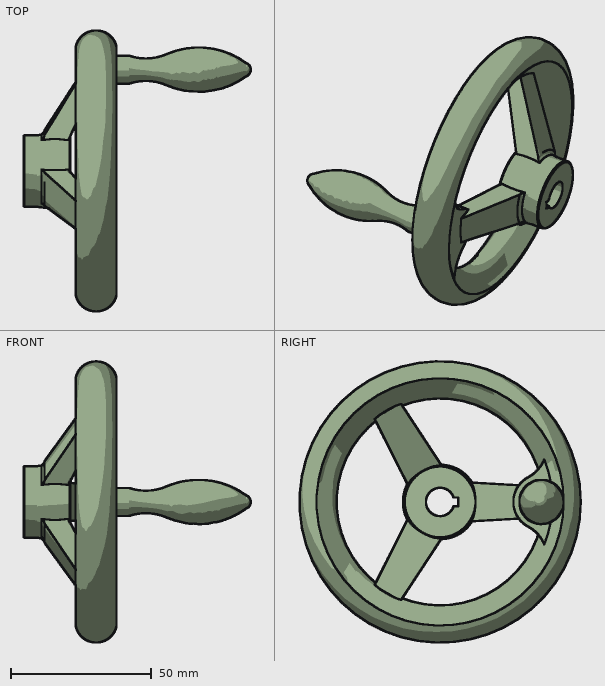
import cadquery as cq
import math


hub_diameter = 25.5
hub_length = 16.7
collar_length = 4.8
barrel_mid_radius = 13.3
barrel_end_radius = 12.9
hub_chamfer = 0.35
bore_diameter = 10.0
keyway_width = 3.0
keyway_reach = 6.4

wheel_diameter = 100.0
rim_width = 14.5
rim_front = 18.5
rim_side_outer_radius = 44.3
rim_side_inner_radius = 43.9
rim_bevel_diameter = 85.0
rim_bevel_depth = 1.1
rim_cone_end_depth = 3.4
rim_cone_end_radius = 38.8
rim_inner_radius = 36.7

spoke_count = 3
spoke_root_radius = 9.0
spoke_tip_radius = 39.5
spoke_root_half_width = 7.05
spoke_tip_half_width = 5.3
spoke_fillet_start_x = 5.7
spoke_fillet_end_x = 7.4
spoke_fillet_end_radius = 14.5
spoke_fillet_mid_x = 6.75
spoke_fillet_mid_radius = 13.3
spoke_front_slope = 1.55
spoke_back_slope = 2.1
spoke_back_root_x = 16.6
spoke_back_root_radius = 12.5
spoke_end_x = 28.5

handle_offset = 36.0
boss_front = 19.7
boss_length = 10.6
boss_radius = 10.0
boss_flare_radius = 12.4
boss_flare_height = 19.8

shank_radius = 5.0
neck_start = 37.5
neck_mid_radius = 4.05
grip_start = 51.1
grip_start_radius = 5.7
grip_widest_x = 61.8
grip_radius = 7.95
grip_end = 79.0
grip_end_radius = 2.4
handle_tip = 80.7

rim_center_x = rim_front + rim_width / 2
rim_back = rim_front + rim_width
rim_bevel_radius = rim_bevel_diameter / 2
boss_back = boss_front + boss_length


def spin(profile):
    """Revolve a closed (x, radius) profile about the X axis."""
    return profile.close().revolve(360, (0, 0, 0), (1, 0, 0))


def make_hub():
    """Solid hub: a straight collar followed by a slightly barrel-shaped body."""
    hub_radius = hub_diameter / 2
    barrel_end = hub_length - hub_chamfer
    return spin(
        cq.Workplane("XY")
        .moveTo(0, 0)
        .lineTo(0, hub_radius - hub_chamfer)
        .lineTo(hub_chamfer, hub_radius)
        .lineTo(collar_length, hub_radius)
        .threePointArc(
            ((collar_length + barrel_end) / 2, barrel_mid_radius),
            (barrel_end, barrel_end_radius),
        )
        .lineTo(hub_length, barrel_end_radius - hub_chamfer)
        .lineTo(hub_length, 0)
    )


def spoke_back_radius(x):
    """Distance of the leaning back face of a spoke from the wheel axis at x."""
    return spoke_back_root_radius + spoke_back_slope * (x - spoke_back_root_x)


def make_spoke():
    """One spoke along +Y; its front is round at the hub, flattens outward, and the width tapers."""
    half_width = spoke_root_half_width
    start_x = spoke_fillet_end_x
    start_radius = spoke_fillet_end_radius
    start_corner = math.sqrt(start_radius**2 - half_width**2)
    start_back = spoke_back_radius(start_x)
    length = spoke_end_x - start_x
    end_back = spoke_back_radius(spoke_end_x)
    end_front = start_radius + spoke_front_slope * length
    leaning_bar = (
        cq.Workplane("YZ", origin=(start_x, 0, 0))
        .moveTo(start_back, -half_width)
        .lineTo(start_corner, -half_width)
        .threePointArc((start_radius, 0), (start_corner, half_width))
        .lineTo(start_back, half_width)
        .close()
        .workplane(offset=length)
        .moveTo(end_back, -half_width)
        .lineTo(end_front, -half_width)
        .lineTo(end_front, half_width)
        .lineTo(end_back, half_width)
        .close()
        .loft(ruled=True)
    )
    fillet_ring = spin(
        cq.Workplane("XY")
        .moveTo(spoke_fillet_start_x, 0)
        .lineTo(spoke_fillet_start_x, hub_diameter / 2)
        .threePointArc(
            (spoke_fillet_mid_x, spoke_fillet_mid_radius),
            (spoke_fillet_end_x, spoke_fillet_end_radius),
        )
        .lineTo(spoke_fillet_end_x, 0)
    )
    taper = (
        cq.Workplane("YZ")
        .moveTo(spoke_root_radius, -spoke_root_half_width)
        .lineTo(spoke_tip_radius, -spoke_tip_half_width)
        .lineTo(spoke_tip_radius, spoke_tip_half_width)
        .lineTo(spoke_root_radius, spoke_root_half_width)
        .close()
        .extrude(rim_back)
    )
    return leaning_bar.union(fillet_ring).intersect(taper)


def make_spider():
    """Hub with its evenly spaced spokes."""
    spider = make_hub()
    spoke = make_spoke()
    for i in range(spoke_count):
        spider = spider.union(spoke.rotate((0, 0, 0), (1, 0, 0), i * 360 / spoke_count))
    return spider


def make_rim():
    """Ring with a round outside, narrow side flats, bevels, conical flanks and a round inside."""
    return spin(
        cq.Workplane("XY")
        .moveTo(rim_front, rim_side_inner_radius)
        .lineTo(rim_front, rim_side_outer_radius)
        .threePointArc((rim_center_x, wheel_diameter / 2), (rim_back, rim_side_outer_radius))
        .lineTo(rim_back, rim_side_inner_radius)
        .lineTo(rim_back - rim_bevel_depth, rim_bevel_radius)
        .lineTo(rim_back - rim_cone_end_depth, rim_cone_end_radius)
        .threePointArc(
            (rim_center_x, rim_inner_radius),
            (rim_front + rim_cone_end_depth, rim_cone_end_radius),
        )
        .lineTo(rim_front + rim_bevel_depth, rim_bevel_radius)
    )


def make_boss():
    """Round boss at the handle whose flanks flare out into the rim."""
    center_distance = boss_radius + boss_flare_radius
    flare_y = handle_offset - math.sqrt(center_distance**2 - boss_flare_height**2)
    tangent_y = handle_offset + (flare_y - handle_offset) * boss_radius / center_distance
    tangent_z = boss_flare_height * boss_radius / center_distance
    flare_end_y = flare_y + boss_flare_radius
    flare_mid_angle = math.atan2(tangent_z - boss_flare_height, tangent_y - flare_y) / 2
    flare_mid_y = flare_y + boss_flare_radius * math.cos(flare_mid_angle)
    flare_mid_z = boss_flare_height + boss_flare_radius * math.sin(flare_mid_angle)
    boss = (
        cq.Workplane("YZ", origin=(boss_front, 0, 0))
        .moveTo(flare_end_y, boss_flare_height)
        .threePointArc((flare_mid_y, flare_mid_z), (tangent_y, tangent_z))
        .threePointArc((handle_offset - boss_radius, 0), (tangent_y, -tangent_z))
        .threePointArc((flare_mid_y, -flare_mid_z), (flare_end_y, -boss_flare_height))
        .lineTo(rim_bevel_radius, -boss_flare_height)
        .lineTo(rim_bevel_radius, boss_flare_height)
        .close()
        .extrude(boss_length)
    )
    inside_rim = cq.Workplane("YZ").circle(rim_bevel_radius).extrude(rim_back)
    return boss.intersect(inside_rim)


def make_handle():
    """Waisted handle with a bulging grip and a spherical tip, parallel to the wheel axis."""
    tip_length = handle_tip - grip_end
    tip_sphere_radius = (tip_length**2 + grip_end_radius**2) / (2 * tip_length)
    tip_mid_angle = math.asin(grip_end_radius / tip_sphere_radius) / 2
    tip_center_x = handle_tip - tip_sphere_radius
    handle = spin(
        cq.Workplane("XY")
        .moveTo(boss_back, 0)
        .lineTo(boss_back, shank_radius)
        .lineTo(neck_start, shank_radius)
        .threePointArc(((neck_start + grip_start) / 2, neck_mid_radius), (grip_start, grip_start_radius))
        .threePointArc((grip_widest_x, grip_radius), (grip_end, grip_end_radius))
        .threePointArc(
            (
                tip_center_x + tip_sphere_radius * math.cos(tip_mid_angle),
                tip_sphere_radius * math.sin(tip_mid_angle),
            ),
            (handle_tip, 0),
        )
    )
    return handle.translate((0, handle_offset, 0))


def make_bore():
    """Through bore with a keyway on the handle side."""
    bore = cq.Workplane("YZ").circle(bore_diameter / 2).extrude(hub_length)
    keyway = (
        cq.Workplane("YZ")
        .center(keyway_reach / 2, 0)
        .rect(keyway_reach, keyway_width)
        .extrude(hub_length)
    )
    return bore.union(keyway)


result = make_spider().union(make_rim()).union(make_boss()).union(make_handle()).cut(make_bore())